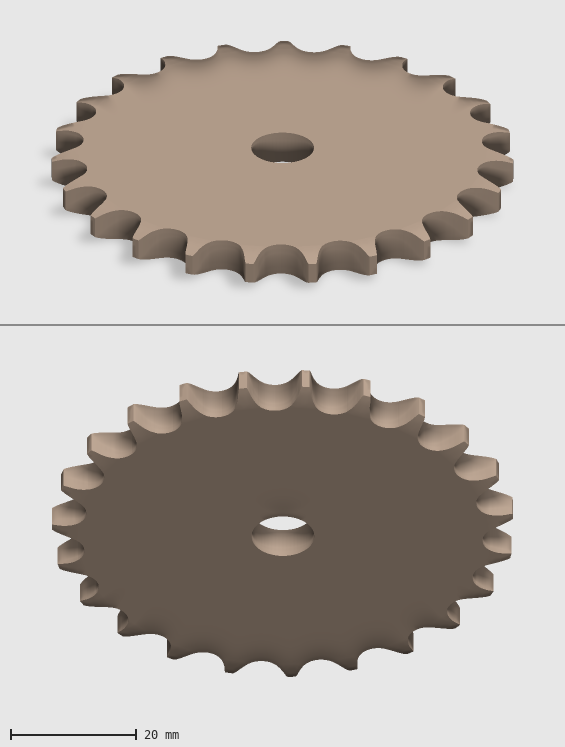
import cadquery as cq
import math

tooth_count = 23
tip_diameter = 73.5
pitch_diameter = 69.95
root_diameter = 63.6
thickness = 5.3
bore_diameter = 10.0
face_diameter = 64.95
side_radius = 10.0
seat_clearance = 0.1
cutter_overrun = 3.7

tip_radius = tip_diameter / 2
pitch_radius = pitch_diameter / 2
face_radius = face_diameter / 2
half_thickness = thickness / 2
roller_diameter = pitch_diameter - root_diameter
tooth_step = 360 / tooth_count

working_offset = 0.8 * roller_diameter
topping_offset = 1.4 * roller_diameter
seat_radius = (1.005 * roller_diameter + seat_clearance) / 2
working_radius = seat_radius + working_offset
seat_angle = math.radians(35 + 60 / tooth_count)
working_angle = math.radians(18 - 56 / tooth_count)
topping_angle = math.radians(17 - 64 / tooth_count)
flank_angle = seat_angle - working_angle
flank_length = topping_offset * math.sin(topping_angle) - working_offset * math.sin(working_angle)
topping_radius = (
    working_offset * math.cos(working_angle)
    + topping_offset * math.cos(topping_angle)
    - working_radius
)


def offset_point(start, distance, angle):
    """Point at a distance from start, with the angle in radians from +X."""
    return (start[0] + distance * math.cos(angle), start[1] + distance * math.sin(angle))


def mirrored(point):
    """Same point on the other side of the gap's centre line."""
    return (-point[0], point[1])


def make_blank():
    """Bored disc whose rim narrows towards the tips along tangent arcs."""
    rim_angle = math.asin((tip_radius - face_radius) / side_radius)

    def side_point(angle):
        drop = side_radius * (1 - math.cos(angle))
        return (face_radius + side_radius * math.sin(angle), half_thickness - drop)

    def lower(point):
        return (point[0], -point[1])

    side_middle = side_point(rim_angle / 2)
    side_end = side_point(rim_angle)
    bore_radius = bore_diameter / 2
    return (
        cq.Workplane("XZ")
        .moveTo(bore_radius, -half_thickness)
        .lineTo(bore_radius, half_thickness)
        .lineTo(face_radius, half_thickness)
        .threePointArc(side_middle, side_end)
        .lineTo(*lower(side_end))
        .threePointArc(lower(side_middle), (face_radius, -half_thickness))
        .close()
        .revolve(360, (0, 0), (0, 1))
    )


def make_gap_cutter():
    """Prism filling the tooth gap that is centred on +Y."""
    roller_centre = (0, pitch_radius)
    seat_bottom = (0, pitch_radius - seat_radius)
    seat_middle = offset_point(roller_centre, seat_radius, -(math.pi / 2 + seat_angle) / 2)
    seat_end = offset_point(roller_centre, seat_radius, -seat_angle)

    working_centre = offset_point(roller_centre, working_offset, math.pi - seat_angle)
    working_middle = offset_point(working_centre, working_radius, -(seat_angle + flank_angle) / 2)
    flank_start = offset_point(working_centre, working_radius, -flank_angle)
    flank_end = offset_point(flank_start, flank_length, math.pi / 2 - flank_angle)

    topping_centre = offset_point(flank_end, topping_radius, -flank_angle)
    centre_distance = math.hypot(*topping_centre)
    centre_direction = math.atan2(topping_centre[1], topping_centre[0])
    tip_spread = math.acos(
        (centre_distance**2 + tip_radius**2 - topping_radius**2) / (2 * centre_distance * tip_radius)
    )
    tip_direction = centre_direction + tip_spread
    tip_corner = offset_point((0, 0), tip_radius, tip_direction)
    topping_start_angle = math.pi - flank_angle
    topping_end_angle = math.atan2(
        tip_corner[1] - topping_centre[1], tip_corner[0] - topping_centre[0]
    )
    topping_middle = offset_point(
        topping_centre, topping_radius, (topping_start_angle + topping_end_angle) / 2
    )
    outer_corner = offset_point(tip_corner, cutter_overrun, tip_direction)

    return (
        cq.Workplane("XY", origin=(0, 0, -half_thickness))
        .moveTo(*seat_bottom)
        .threePointArc(seat_middle, seat_end)
        .threePointArc(working_middle, flank_start)
        .lineTo(*flank_end)
        .threePointArc(topping_middle, tip_corner)
        .lineTo(*outer_corner)
        .lineTo(*mirrored(outer_corner))
        .lineTo(*mirrored(tip_corner))
        .threePointArc(mirrored(topping_middle), mirrored(flank_end))
        .lineTo(*mirrored(flank_start))
        .threePointArc(mirrored(working_middle), mirrored(seat_end))
        .threePointArc(mirrored(seat_middle), seat_bottom)
        .close()
        .extrude(thickness, clean=False)
    )


gap_cutter = make_gap_cutter().val()
gap_cutters = [
    gap_cutter.rotate((0, 0, 0), (0, 0, 1), gap * tooth_step) for gap in range(tooth_count)
]
sprocket = make_blank().val().cut(*gap_cutters)
result = cq.Workplane(sprocket).solids()